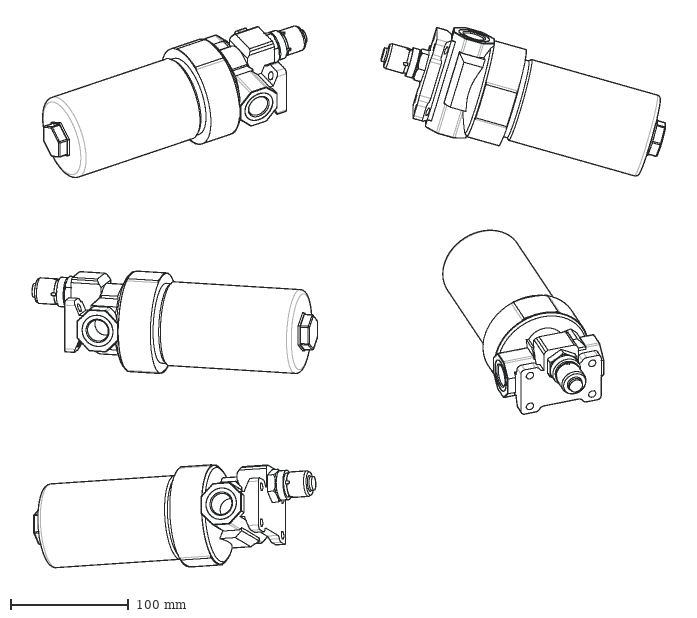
import cadquery as cq
import math


BOWL_RADIUS = 35.7
BOWL_NECK_RADIUS = 34.0
BOWL_NECK_LENGTH = 5.0
BOWL_SHOULDER_LENGTH = 2.0
BOWL_WALL_END = -118.0
BOWL_RIM_RADIUS = 32.3
BOWL_RIM_END = -121.2
BOWL_END = -123.2

PLUG_FLATS = 27.0
PLUG_END = -131.8
PLUG_CHAMFER_LENGTH = 0.85
PLUG_CHAMFER_DEPTH = 1.0
PLUG_CORNER = 0.7
PLUG_BASE_FLATS = 28.8
PLUG_BASE_END = -124.0

COLLAR_RADIUS = 85.0 / 2
COLLAR_LENGTH = 28.3
RIM_LENGTH = 0.5
PAD_HEIGHT = 41.9
PAD_EDGE_HEIGHT = 40.5
PAD_HALF_WIDTH = 17.0
PAD_TOP_HALF_WIDTH = 15.3
CONE_START_RADIUS = 41.9
CONE_SHOULDER_RADIUS = 40.1
CONE_SHOULDER_LENGTH = 2.2
CONE_END_RADIUS = 23.0
CONE_LENGTH = 11.0

PORT_Y = 46.3
PORT_FLATS = 36.0
PORT_HALF_LENGTH = 87.0 / 2
PORT_EDGE = 0.5
PORT_CORNER = 2.5
BORE_RADIUS = 9.0
BORE_CHAMFER = 1.0
BORE_DEPTH = 24.6
SPOTFACE_RADIUS = 13.5
SPOTFACE_DEPTH = 0.37

PLINTH_HALF_HEIGHT = 24.5
PLINTH_LEFT = -30.3
PLINTH_RIGHT = 16.5
PLINTH_BACK = 55.7
PLINTH_BEVEL = 5.7

FLANGE_BACK = 77.3
FLANGE_HALF_WIDTH = 36.2
FLANGE_HALF_HEIGHT = 22.5
FLANGE_THICKNESS = 8.0
FLANGE_ROOT_Y = 64.5
FLANGE_ROOT_Z = 10.8
LUG_CORNER = 3.5
VALLEY_RADIUS = 4.5
VALLEY_SLOPE = math.radians(60)
MOUNT_HOLE_X = 28.0
MOUNT_HOLE_Z = 15.5
MOUNT_HOLE_DIAMETER = 6.5

BLOCK_HALF_WIDTH = 15.5
BLOCK_TOP = 37.7
BLOCK_FRONT = 55.2
BLOCK_CHAMFER_WIDTH = 3.7
BLOCK_CHAMFER_MID_X = 14.0
BLOCK_CHAMFER_MID_Z = 36.5
BLOCK_NOSE_Y = 51.0
BLOCK_NOSE_TOP = 31.3
BLOCK_NOSE_BOTTOM = 26.0
BLOCK_HEEL_Y = 54.5
BLOCK_HEEL_Z = 18.0
NECK_HALF_WIDTH = 14.5

COUPLING_Z = 21.7
NUT_FLATS = 24.6
NUT_END = 84.0
NUT_CHAMFER = 1.2
GROOVE_RADIUS = 9.5
RING_START = 85.2
RING_END = 91.1
RING_RADIUS = 12.5
SLEEVE_NECK_RADIUS = 10.3
SLEEVE_START = 93.8
SLEEVE_END = 111.0
SLEEVE_RADIUS = 22.0 / 2
SLEEVE_EDGE_LENGTH = 2.0
SLEEVE_EDGE_DEPTH = 1.0
TIP_BASE_RADIUS = 6.7
TIP_RADIUS = 6.0
TIP_TAPER_END = 112.3
TIP_END = 114.5
NOTCH_RADIUS = 1.2
NOTCH_DEPTH = 1.0


def revolve_about_y(outline):
    """Revolve a closed (radius, y) outline about the Y axis."""
    return cq.Workplane("XY").polyline(outline).close().revolve(360, (0, 0, 0), (0, 1, 0))


def plane_at(y):
    """XZ workplane at the given Y whose positive extrusion runs toward +Y; local x is -X."""
    return cq.Workplane(cq.Plane(origin=(0, y, 0), xDir=(-1, 0, 0), normal=(0, 1, 0)))


def extrude_along_x(outline, start, end):
    """Extrude a closed (y, z) outline between two X positions."""
    return cq.Workplane("YZ").workplane(offset=start).polyline(outline).close().extrude(end - start)


def hexagon(across_flats, y_start, y_end):
    """Hexagonal prism along Y with corners at the top and bottom."""
    corner_diameter = across_flats / math.cos(math.pi / 6)
    prism = plane_at(y_start).transformed(rotate=(0, 0, 90)).polygon(6, corner_diameter)
    return prism.extrude(y_end - y_start)


def make_bowl():
    neck_end = -BOWL_NECK_LENGTH
    wall_start = neck_end - BOWL_SHOULDER_LENGTH
    profile = (
        cq.Workplane("XY")
        .moveTo(0, 0)
        .lineTo(BOWL_NECK_RADIUS, 0)
        .lineTo(BOWL_NECK_RADIUS, neck_end)
        .lineTo(BOWL_RADIUS, wall_start)
        .lineTo(BOWL_RADIUS, BOWL_WALL_END)
        .tangentArcPoint((BOWL_RIM_RADIUS, BOWL_RIM_END), relative=False)
        .lineTo(0, BOWL_END)
        .close()
    )
    return profile.revolve(360, (0, 0, 0), (0, 1, 0))


def make_drain_plug():
    base = hexagon(PLUG_BASE_FLATS, PLUG_BASE_END, BOWL_RIM_END)
    head = hexagon(PLUG_FLATS, PLUG_END, BOWL_RIM_END).edges("|Y").chamfer(PLUG_CORNER)
    end_face = head.faces("<Y")
    return end_face.chamfer(PLUG_CHAMFER_LENGTH, PLUG_CHAMFER_DEPTH).union(base)


def make_collar():
    """Round collar with a crowned pad at the top and bottom, held between two thin round rims."""
    shoulder_z = math.sqrt(COLLAR_RADIUS ** 2 - PAD_HALF_WIDTH ** 2)
    collar = (
        plane_at(RIM_LENGTH)
        .moveTo(PAD_HALF_WIDTH, shoulder_z)
        .lineTo(PAD_TOP_HALF_WIDTH, PAD_EDGE_HEIGHT)
        .threePointArc((0, PAD_HEIGHT), (-PAD_TOP_HALF_WIDTH, PAD_EDGE_HEIGHT))
        .lineTo(-PAD_HALF_WIDTH, shoulder_z)
        .threePointArc((-COLLAR_RADIUS, 0), (-PAD_HALF_WIDTH, -shoulder_z))
        .lineTo(-PAD_TOP_HALF_WIDTH, -PAD_EDGE_HEIGHT)
        .threePointArc((0, -PAD_HEIGHT), (PAD_TOP_HALF_WIDTH, -PAD_EDGE_HEIGHT))
        .lineTo(PAD_HALF_WIDTH, -shoulder_z)
        .threePointArc((COLLAR_RADIUS, 0), (PAD_HALF_WIDTH, shoulder_z))
        .close()
        .extrude(COLLAR_LENGTH - 2 * RIM_LENGTH)
    )
    for rim_start in (0, COLLAR_LENGTH - RIM_LENGTH):
        collar = collar.union(plane_at(rim_start).circle(COLLAR_RADIUS).extrude(RIM_LENGTH))
    return collar


def make_cone():
    cone_end = COLLAR_LENGTH + CONE_LENGTH
    return revolve_about_y([
        (0, COLLAR_LENGTH),
        (CONE_START_RADIUS, COLLAR_LENGTH),
        (CONE_SHOULDER_RADIUS, COLLAR_LENGTH + CONE_SHOULDER_LENGTH),
        (CONE_END_RADIUS, cone_end),
        (0, cone_end),
    ])


def make_port_body():
    corner_diameter = PORT_FLATS / math.cos(math.pi / 8)
    return (
        cq.Workplane("YZ", origin=(-PORT_HALF_LENGTH, PORT_Y, 0))
        .transformed(rotate=(0, 0, 180 / 8))
        .polygon(8, corner_diameter)
        .extrude(2 * PORT_HALF_LENGTH)
        .edges("|X and (>Z or <Z)")
        .fillet(PORT_CORNER)
        .faces("<X or >X")
        .chamfer(PORT_EDGE)
    )


def cut_ports(body):
    """Chamfered blind bore and shallow spotface at both ends of the port body."""
    bore = (
        revolve_about_y([
            (0, 0),
            (SPOTFACE_RADIUS, 0),
            (SPOTFACE_RADIUS, SPOTFACE_DEPTH),
            (BORE_RADIUS + BORE_CHAMFER, SPOTFACE_DEPTH),
            (BORE_RADIUS, SPOTFACE_DEPTH + BORE_CHAMFER),
            (BORE_RADIUS, BORE_DEPTH),
            (0, BORE_DEPTH),
        ])
        .rotate((0, 0, 0), (0, 0, 1), -90)
        .translate((-PORT_HALF_LENGTH, PORT_Y, 0))
    )
    return body.cut(bore).cut(bore.mirror("YZ"))


def make_plinth():
    depth = PLINTH_BACK - COLLAR_LENGTH
    width = PLINTH_RIGHT - PLINTH_LEFT
    block = cq.Workplane("XY").box(width, depth, 2 * PLINTH_HALF_HEIGHT, centered=False)
    block = block.translate((PLINTH_LEFT, COLLAR_LENGTH, -PLINTH_HALF_HEIGHT))
    return block.edges("(|X and >Y) or (|Y and <X)").chamfer(PLINTH_BEVEL)


def make_flange():
    front = FLANGE_BACK - FLANGE_THICKNESS
    side_outline = [
        (FLANGE_BACK, FLANGE_HALF_HEIGHT),
        (front, FLANGE_HALF_HEIGHT),
        (FLANGE_ROOT_Y, FLANGE_ROOT_Z),
        (PORT_Y, FLANGE_ROOT_Z),
        (PORT_Y, -FLANGE_ROOT_Z),
        (FLANGE_ROOT_Y, -FLANGE_ROOT_Z),
        (front, -FLANGE_HALF_HEIGHT),
        (FLANGE_BACK, -FLANGE_HALF_HEIGHT),
    ]
    flange = extrude_along_x(side_outline, -FLANGE_HALF_WIDTH, FLANGE_HALF_WIDTH)

    corners = (
        plane_at(PORT_Y)
        .rect(2 * FLANGE_HALF_WIDTH, 2 * FLANGE_HALF_HEIGHT)
        .extrude(FLANGE_BACK - PORT_Y)
        .edges("|Y")
        .fillet(LUG_CORNER)
    )
    bend_run = VALLEY_RADIUS * math.sin(VALLEY_SLOPE)
    bend_drop = VALLEY_RADIUS * (1 - math.cos(VALLEY_SLOPE))
    floor_x = BLOCK_HALF_WIDTH
    floor_z = FLANGE_HALF_HEIGHT - 2 * bend_drop
    mid_x = floor_x + bend_run
    mid_z = floor_z + bend_drop
    rim_x = mid_x + bend_run
    valley = (
        plane_at(PORT_Y)
        .moveTo(-rim_x, FLANGE_HALF_HEIGHT)
        .radiusArc((-mid_x, mid_z), VALLEY_RADIUS)
        .radiusArc((-floor_x, floor_z), -VALLEY_RADIUS)
        .lineTo(floor_x, floor_z)
        .radiusArc((mid_x, mid_z), -VALLEY_RADIUS)
        .radiusArc((rim_x, FLANGE_HALF_HEIGHT), VALLEY_RADIUS)
        .close()
        .extrude(FLANGE_BACK - PORT_Y)
    )
    holes = (
        plane_at(PORT_Y)
        .rect(2 * MOUNT_HOLE_X, 2 * MOUNT_HOLE_Z, forConstruction=True)
        .vertices()
        .circle(MOUNT_HOLE_DIAMETER / 2)
        .extrude(FLANGE_BACK - PORT_Y)
    )
    return flange.intersect(corners).cut(valley).cut(valley.mirror("XY")).cut(holes)


def make_valve_block():
    outline = [
        (FLANGE_BACK, BLOCK_TOP),
        (BLOCK_FRONT, BLOCK_TOP),
        (BLOCK_NOSE_Y, BLOCK_NOSE_TOP),
        (BLOCK_NOSE_Y, BLOCK_NOSE_BOTTOM),
        (BLOCK_HEEL_Y, BLOCK_HEEL_Z),
        (BLOCK_HEEL_Y, FLANGE_ROOT_Z),
        (FLANGE_BACK, FLANGE_ROOT_Z),
    ]
    block = extrude_along_x(outline, -BLOCK_HALF_WIDTH, BLOCK_HALF_WIDTH)
    flat_half_width = BLOCK_HALF_WIDTH - BLOCK_CHAMFER_WIDTH
    side_top = BLOCK_TOP - BLOCK_CHAMFER_WIDTH
    section = (
        plane_at(PORT_Y)
        .polyline([
            (BLOCK_HALF_WIDTH, 0),
            (BLOCK_HALF_WIDTH, side_top),
            (BLOCK_CHAMFER_MID_X, BLOCK_CHAMFER_MID_Z),
            (flat_half_width, BLOCK_TOP),
            (-flat_half_width, BLOCK_TOP),
            (-BLOCK_CHAMFER_MID_X, BLOCK_CHAMFER_MID_Z),
            (-BLOCK_HALF_WIDTH, side_top),
            (-BLOCK_HALF_WIDTH, 0),
        ])
        .close()
        .extrude(FLANGE_BACK - PORT_Y)
    )
    return block.intersect(section)


def make_neck():
    """Arched neck standing on the plinth."""
    return (
        plane_at(COLLAR_LENGTH)
        .moveTo(NECK_HALF_WIDTH, 0)
        .lineTo(NECK_HALF_WIDTH, PLINTH_HALF_HEIGHT)
        .threePointArc((0, BLOCK_NOSE_TOP), (-NECK_HALF_WIDTH, PLINTH_HALF_HEIGHT))
        .lineTo(-NECK_HALF_WIDTH, 0)
        .close()
        .extrude(BLOCK_FRONT - COLLAR_LENGTH)
    )


def make_coupling():
    nut = hexagon(NUT_FLATS, FLANGE_BACK, NUT_END)
    nut_length = NUT_END - FLANGE_BACK
    nut_corner_radius = NUT_FLATS / 2 / math.cos(math.pi / 6)
    nut_envelope = plane_at(FLANGE_BACK).circle(nut_corner_radius).extrude(nut_length)
    nut = nut.intersect(nut_envelope.faces(">Y").chamfer(NUT_CHAMFER))
    turned = revolve_about_y([
        (0, NUT_END),
        (GROOVE_RADIUS, NUT_END),
        (GROOVE_RADIUS, RING_START),
        (RING_RADIUS, RING_START),
        (RING_RADIUS, RING_END),
        (SLEEVE_NECK_RADIUS, RING_END),
        (SLEEVE_NECK_RADIUS, SLEEVE_START),
        (SLEEVE_RADIUS, SLEEVE_START),
        (SLEEVE_RADIUS, SLEEVE_END - SLEEVE_EDGE_LENGTH),
        (SLEEVE_RADIUS - SLEEVE_EDGE_DEPTH, SLEEVE_END),
        (TIP_BASE_RADIUS, SLEEVE_END),
        (TIP_RADIUS, TIP_TAPER_END),
        (TIP_RADIUS, TIP_END),
        (0, TIP_END),
    ])
    notch = (
        cq.Workplane("XY", origin=(0, 0, SLEEVE_RADIUS - NOTCH_DEPTH))
        .moveTo(-NOTCH_RADIUS, SLEEVE_START - NOTCH_RADIUS)
        .lineTo(-NOTCH_RADIUS, SLEEVE_START + NOTCH_RADIUS)
        .threePointArc((0, SLEEVE_START + 2 * NOTCH_RADIUS), (NOTCH_RADIUS, SLEEVE_START + NOTCH_RADIUS))
        .lineTo(NOTCH_RADIUS, SLEEVE_START - NOTCH_RADIUS)
        .close()
        .extrude(2 * NOTCH_DEPTH)
    )
    for quarter in range(4):
        turned = turned.cut(notch.rotate((0, 0, 0), (0, 1, 0), 90 * quarter))
    return nut.union(turned).translate((0, 0, COUPLING_Z))


body = make_collar()
for piece in (
    make_cone(),
    make_bowl(),
    make_drain_plug(),
    make_port_body(),
    make_plinth(),
    make_flange(),
    make_valve_block(),
    make_neck(),
    make_coupling(),
):
    body = body.union(piece)

result = cut_ports(body)